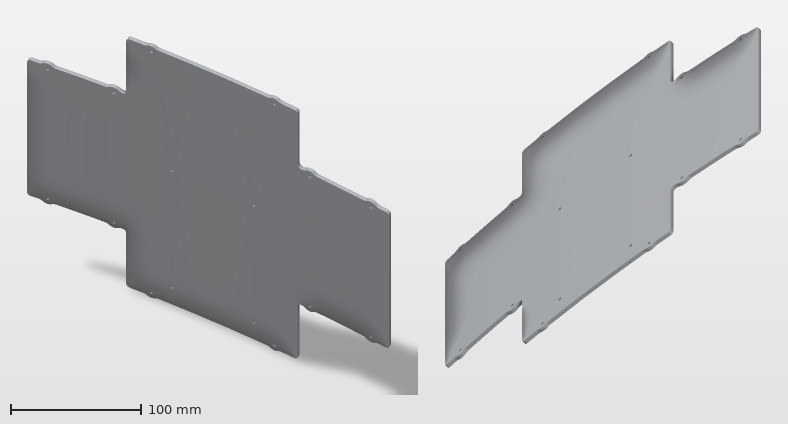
import cadquery as cq
import math

HALF_LENGTH = 160.0
ARM_HALF_HEIGHT = 78.7
BODY_HALF_WIDTH = 76.0
BODY_HALF_HEIGHT = 144.0
OUTER_CORNER_RADIUS = 3.0
INNER_CORNER_RADIUS = 3.2

LUG_RADIUS = 6.0
BODY_LUG_INSET = 4.2
ARM_LUG_INSET = 3.5
LUG_FILLET_RADIUS = 6.0
BODY_LUG_X = 54.5
ARM_LUG_XS = (86.7, 143.0)

HOLE_DIAMETER = 3.0
PLATE_HOLE_X = 36.2
PLATE_HOLE_ZS = (11.5, -124.2)

THICKNESS = 3.2
BEND_RADIUS = 1600.5
FLAT_START_X = 149.8
BEND_HALF_ANGLE = math.asin(FLAT_START_X / BEND_RADIUS)

OVERSIZE = 3.2
FLAT_STRIP_LENGTH = HALF_LENGTH - FLAT_START_X + OVERSIZE
SHEET_HALF_HEIGHT = BODY_HALF_HEIGHT + LUG_RADIUS + OVERSIZE
BLANK_HALF_DEPTH = 16.0

BODY_LUGS = [
    (side * BODY_LUG_X, end * (BODY_HALF_HEIGHT - BODY_LUG_INSET))
    for side in (-1, 1)
    for end in (-1, 1)
]
ARM_LUGS = [
    (side * x, end * (ARM_HALF_HEIGHT - ARM_LUG_INSET))
    for side in (-1, 1)
    for end in (-1, 1)
    for x in ARM_LUG_XS
]
LUG_CENTRES = BODY_LUGS + ARM_LUGS
PLATE_HOLES = [(side * PLATE_HOLE_X, z) for side in (-1, 1) for z in PLATE_HOLE_ZS]


def slab(half_width, half_height):
    """Rectangular block centred on the origin, extruded along Y."""
    return cq.Workplane("XZ").rect(2 * half_width, 2 * half_height).extrude(BLANK_HALF_DEPTH, both=True)


def cylinders(centres, diameter):
    """Cylinders along Y at the given (x, z) centres."""
    return cq.Workplane("XZ").pushPoints(centres).circle(diameter / 2).extrude(BLANK_HALF_DEPTH, both=True)


def edges_at(points):
    """Selector for the edges along Y that pass through the given (x, z) points."""
    reach = 0.15
    boxes = [
        cq.selectors.BoxSelector((x - reach, -reach, z - reach), (x + reach, reach, z + reach))
        for x, z in points
    ]
    selector = boxes[0]
    for box in boxes[1:]:
        selector = selector + box
    return selector


def mirrored(x, z):
    """The four points at (+-x, +-z)."""
    return [(x, z), (-x, z), (x, -z), (-x, -z)]


def roots(lug_centres, inset):
    """The (x, z) points where lugs meet the straight edge lying this far outside their centres."""
    half_chord = math.sqrt(LUG_RADIUS**2 - inset**2)
    return [
        (x + side * half_chord, z + math.copysign(inset, z))
        for x, z in lug_centres
        for side in (-1, 1)
    ]


def outline_blank():
    """Straight prism with the lugged cross outline, its corners rounded and holes cut."""
    cross = slab(HALF_LENGTH, ARM_HALF_HEIGHT).union(slab(BODY_HALF_WIDTH, BODY_HALF_HEIGHT))
    blank = cross.union(cylinders(LUG_CENTRES, 2 * LUG_RADIUS))

    outer_corners = mirrored(HALF_LENGTH, ARM_HALF_HEIGHT) + mirrored(BODY_HALF_WIDTH, BODY_HALF_HEIGHT)
    inner_corners = mirrored(BODY_HALF_WIDTH, ARM_HALF_HEIGHT)
    lug_roots = roots(BODY_LUGS, BODY_LUG_INSET) + roots(ARM_LUGS, ARM_LUG_INSET)

    blank = blank.edges(edges_at(outer_corners)).fillet(OUTER_CORNER_RADIUS)
    blank = blank.edges(edges_at(inner_corners)).fillet(INNER_CORNER_RADIUS)
    blank = blank.edges(edges_at(lug_roots)).fillet(LUG_FILLET_RADIUS)
    return blank.cut(cylinders(LUG_CENTRES + PLATE_HOLES, HOLE_DIAMETER))


def bend_point(radius, angle):
    """Point on an arc about the bend axis, at an angle from the crown."""
    return (radius * math.sin(angle), radius * math.cos(angle) - BEND_RADIUS)


def strip_end(radius, side):
    """Far end of the flat strip leaving the arc of this radius at the +X or -X side."""
    x, y = bend_point(radius, side * BEND_HALF_ANGLE)
    dx = side * FLAT_STRIP_LENGTH * math.cos(BEND_HALF_ANGLE)
    dy = -FLAT_STRIP_LENGTH * math.sin(BEND_HALF_ANGLE)
    return (x + dx, y + dy)


def curved_sheet():
    """Oversized sheet of even thickness, bent about an axis parallel to Z."""
    outer = BEND_RADIUS
    inner = BEND_RADIUS - THICKNESS
    profile = (
        cq.Workplane("XY")
        .moveTo(*strip_end(outer, -1))
        .lineTo(*bend_point(outer, -BEND_HALF_ANGLE))
        .threePointArc(bend_point(outer, 0), bend_point(outer, BEND_HALF_ANGLE))
        .lineTo(*strip_end(outer, 1))
        .lineTo(*strip_end(inner, 1))
        .lineTo(*bend_point(inner, BEND_HALF_ANGLE))
        .threePointArc(bend_point(inner, 0), bend_point(inner, -BEND_HALF_ANGLE))
        .lineTo(*strip_end(inner, -1))
        .close()
    )
    return profile.extrude(SHEET_HALF_HEIGHT, both=True)


result = curved_sheet().intersect(outline_blank())